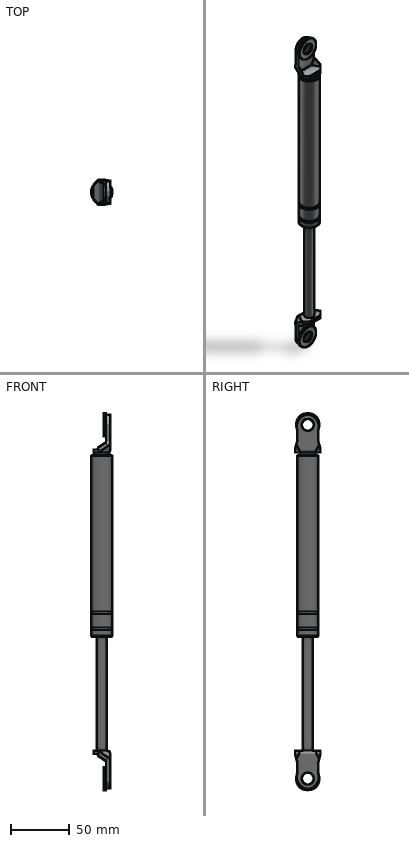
import cadquery as cq

TOTAL_LENGTH = 325.0

WASHER_DIAMETER = 20.0
WASHER_THICKNESS = 2.0
EYE_HOLE_DIAMETER = 10.0
EYE_HEIGHT = WASHER_DIAMETER / 2

EYE_PLATE_OUTER_X = 7.5
EYE_PLATE_THICKNESS = 4.0
EYE_PLATE_INNER_X = EYE_PLATE_OUTER_X - EYE_PLATE_THICKNESS
EYE_PLATE_WIDTH = 18.5
EYE_PLATE_REACH = 8.8
FOOT_FACE_HEIGHT = 34.0
FOOT_THICKNESS = 3.0
FOOT_EDGE_X = -7.0
FOOT_WIDTH = 22.0
FOOT_CORNER_CHAMFER = 4.5
BEND_RADIUS = 3.0
FLARE_LENGTH = 6.8
GUSSET_LEG = 9.0
WEDGE_TIP_Y = 6.2
OUTER_CUT_LEG = 9.5

CYLINDER_DIAMETER = 18.5
CYLINDER_BOTTOM = 132.3
SHOULDER_HEIGHT = 288.0
SHOULDER_TOP = 289.0
NECK_DIAMETER = 13.5
BOTTOM_CHAMFER = 1.0
GROOVE_HEIGHTS = (139.0, 153.0)
GROOVE_WIDTH = 2.0
GROOVE_DEPTH = 0.5

ROD_DIAMETER = 8.8


def make_cylinder():
    """Solid cylinder with a shouldered neck on top and two rolled grooves."""
    radius = CYLINDER_DIAMETER / 2
    neck_radius = NECK_DIAMETER / 2
    neck_top = TOTAL_LENGTH - FOOT_FACE_HEIGHT
    shoulder_radius = radius - (SHOULDER_TOP - SHOULDER_HEIGHT)
    body = (
        cq.Workplane("XZ")
        .moveTo(0, CYLINDER_BOTTOM)
        .lineTo(radius - BOTTOM_CHAMFER, CYLINDER_BOTTOM)
        .lineTo(radius, CYLINDER_BOTTOM + BOTTOM_CHAMFER)
        .lineTo(radius, SHOULDER_HEIGHT)
        .lineTo(shoulder_radius, SHOULDER_TOP)
        .lineTo(neck_radius, SHOULDER_TOP)
        .lineTo(neck_radius, neck_top)
        .lineTo(0, neck_top)
        .close()
        .revolve(360, (0, 0, 0), (0, 1, 0))
    )
    for height in GROOVE_HEIGHTS:
        groove = (
            cq.Workplane("XZ")
            .moveTo(radius, height - GROOVE_WIDTH / 2)
            .threePointArc((radius - GROOVE_DEPTH, height), (radius, height + GROOVE_WIDTH / 2))
            .close()
            .revolve(360, (0, 0, 0), (0, 1, 0))
        )
        body = body.cut(groove)
    return body


def make_rod():
    """Plain rod between the lower bracket foot and the cylinder."""
    return (
        cq.Workplane("XY", origin=(0, 0, FOOT_FACE_HEIGHT))
        .circle(ROD_DIAMETER / 2)
        .extrude(CYLINDER_BOTTOM - FOOT_FACE_HEIGHT)
    )


def make_corner_wedge(corner_x, corner_z, leg, side):
    """Tetrahedron in a bend corner at one side edge, tapering to nothing towards the middle."""
    edge_y = side * FOOT_WIDTH / 2
    taper = side * WEDGE_TIP_Y - edge_y
    corner = cq.Vector(corner_x, edge_y, corner_z)
    along_foot = corner + cq.Vector(-leg, 0, 0)
    along_plate = corner + cq.Vector(0, 0, -leg)
    tip = corner + cq.Vector(0, taper, 0)
    triangles = (
        (corner, along_foot, along_plate),
        (corner, along_foot, tip),
        (corner, along_plate, tip),
        (along_foot, along_plate, tip),
    )
    faces = [cq.Face.makeFromWires(cq.Wire.makePolygon(points, close=True)) for points in triangles]
    return cq.Workplane(obj=cq.Solid.makeSolid(cq.Shell.makeShell(faces)))


def make_bracket():
    """Lower bracket: L-shaped profile with pressed corners, trimmed to its outlines."""
    half_plate = EYE_PLATE_WIDTH / 2
    half_foot = FOOT_WIDTH / 2
    plate_bottom = EYE_HEIGHT - EYE_PLATE_REACH
    foot_inner = FOOT_FACE_HEIGHT - FOOT_THICKNESS

    bracket = (
        cq.Workplane("XZ")
        .moveTo(FOOT_EDGE_X, FOOT_FACE_HEIGHT)
        .lineTo(EYE_PLATE_OUTER_X, FOOT_FACE_HEIGHT)
        .lineTo(EYE_PLATE_OUTER_X, plate_bottom)
        .lineTo(EYE_PLATE_INNER_X, plate_bottom)
        .lineTo(EYE_PLATE_INNER_X, foot_inner)
        .lineTo(FOOT_EDGE_X, foot_inner)
        .close()
        .extrude(half_foot, both=True)
        .edges("|Y and >X and >Z")
        .fillet(BEND_RADIUS)
    )
    for side in (-1, 1):
        gusset = make_corner_wedge(EYE_PLATE_INNER_X, foot_inner, GUSSET_LEG, side)
        outer_cut = make_corner_wedge(EYE_PLATE_OUTER_X, FOOT_FACE_HEIGHT, OUTER_CUT_LEG, side)
        bracket = bracket.union(gusset).cut(outer_cut)
    side_outline = (
        cq.Workplane("YZ", origin=(FOOT_EDGE_X, 0, 0))
        .moveTo(-half_plate, EYE_HEIGHT)
        .threePointArc((0, plate_bottom), (half_plate, EYE_HEIGHT))
        .lineTo(half_plate, foot_inner - FLARE_LENGTH)
        .lineTo(half_foot, foot_inner)
        .lineTo(half_foot, FOOT_FACE_HEIGHT)
        .lineTo(-half_foot, FOOT_FACE_HEIGHT)
        .lineTo(-half_foot, foot_inner)
        .lineTo(-half_plate, foot_inner - FLARE_LENGTH)
        .close()
        .extrude(EYE_PLATE_OUTER_X - FOOT_EDGE_X)
    )
    foot_outline = (
        cq.Workplane("XY")
        .moveTo(FOOT_EDGE_X, -half_foot)
        .lineTo(EYE_PLATE_OUTER_X, -half_foot)
        .lineTo(EYE_PLATE_OUTER_X, half_foot)
        .lineTo(FOOT_EDGE_X, half_foot)
        .close()
        .extrude(FOOT_FACE_HEIGHT)
        .edges("|Z and <X")
        .chamfer(FOOT_CORNER_CHAMFER)
    )
    eye_hole = (
        cq.Workplane("YZ", origin=(EYE_PLATE_INNER_X, 0, EYE_HEIGHT))
        .circle(EYE_HOLE_DIAMETER / 2)
        .extrude(EYE_PLATE_THICKNESS)
    )
    return bracket.intersect(side_outline).intersect(foot_outline).cut(eye_hole)


def make_washer():
    """Lower eye washer, lying against the inner face of the eye plate."""
    return (
        cq.Workplane("YZ", origin=(EYE_PLATE_INNER_X, 0, EYE_HEIGHT))
        .circle(WASHER_DIAMETER / 2)
        .circle(EYE_HOLE_DIAMETER / 2)
        .extrude(-WASHER_THICKNESS)
    )


def at_both_ends(body):
    """The lower body and its mirror image at the upper end."""
    middle = (0, 0, TOTAL_LENGTH / 2)
    return [body.val(), body.mirror("XY", middle).val()]


cylinder = make_cylinder()
rod = make_rod()
brackets = at_both_ends(make_bracket())
washers = at_both_ends(make_washer())

result = cq.Compound.makeCompound([cylinder.val(), rod.val(), *brackets, *washers])